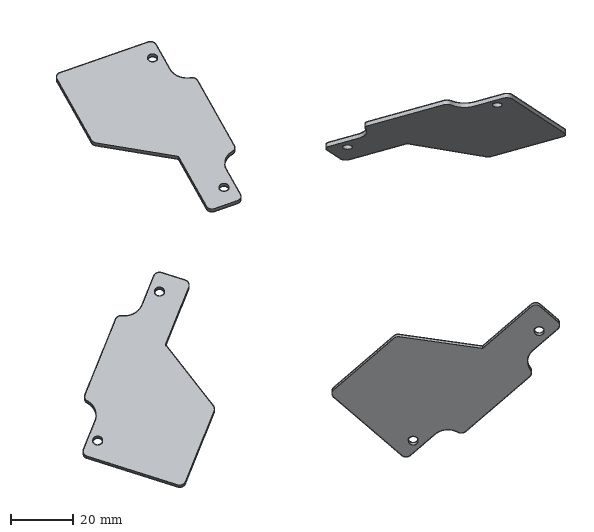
import cadquery as cq
import math

length = 71.1
width = 41.2
thickness = 1.6

shoulder_y = 34.9
arm_bottom_y = 22.9
arm_root_x = 46.9
bottom_edge_length = 30.45
tab_center_x = 35.5
tab_flat_half = 14.6

corner_radius = 2.0
tab_base_radius = 6.0

hole_diameter = 3.2
hole_centers = [(6.55, 31.65), (64.35, 31.2)]

tab_height = width - shoulder_y
flank_angle = math.acos(1 - tab_height / (corner_radius + tab_base_radius))
flank_mid_half = tab_flat_half + corner_radius * math.sin(flank_angle)
flank_mid_y = width - corner_radius * (1 - math.cos(flank_angle))
tab_foot_half = flank_mid_half + tab_base_radius * math.sin(flank_angle)

bottom_corners = [(0, 0), (bottom_edge_length, 0)]
arm_end_corners = [(length, arm_bottom_y), (length, shoulder_y)]
left_shoulder_corner = (0, shoulder_y)


def round_corners(body, corners, radius):
    """Fillet the vertical edges that stand at the given XY corners."""
    for x, y in corners:
        nearest_edge = cq.selectors.NearestToPointSelector((x, y, thickness / 2))
        body = body.edges("|Z").edges(nearest_edge).fillet(radius)
    return body


plate = (
    cq.Workplane("XY")
    .polyline([left_shoulder_corner, *bottom_corners, (arm_root_x, arm_bottom_y), *arm_end_corners])
    .lineTo(tab_center_x + tab_foot_half, shoulder_y)
    .radiusArc((tab_center_x + flank_mid_half, flank_mid_y), tab_base_radius)
    .radiusArc((tab_center_x + tab_flat_half, width), -corner_radius)
    .lineTo(tab_center_x - tab_flat_half, width)
    .radiusArc((tab_center_x - flank_mid_half, flank_mid_y), -corner_radius)
    .radiusArc((tab_center_x - tab_foot_half, shoulder_y), tab_base_radius)
    .close()
    .extrude(thickness)
)

outer_corners = [*bottom_corners, *arm_end_corners, left_shoulder_corner]
plate = round_corners(plate, outer_corners, corner_radius)

holes = cq.Workplane("XY").pushPoints(hole_centers).circle(hole_diameter / 2).extrude(thickness)
result = plate.cut(holes)